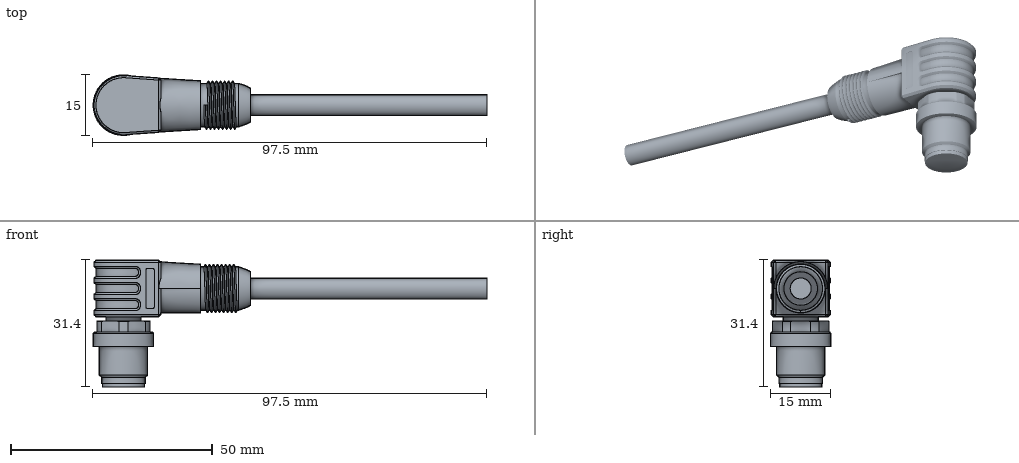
import cadquery as cq
import math


PLUG_DEPTH = 24.4
CABLE_END_X = 90.05
CABLE_DIAMETER = 5.2

HEAD_HEIGHT = 14.0
HEAD_RADIUS = 7.35
HEAD_END_X = 9.25
HEAD_TAPER = math.radians(4.0)
HEAD_EDGE_CHAMFER = 0.55

GROOVE_COUNT = 3
GROOVE_PITCH = 4.0
GROOVE_WIDTH = 3.0
GROOVE_DEPTH = 0.5
GROOVE_END_X = 4.2
GROOVE_CORNER_RADIUS = 1.3
GROOVE_OVERRUN = 0.4
CUTTER_OUTSET = 1.0

PANEL_WIDTH = 2.1
PANEL_HEIGHT = 10.0
PANEL_CENTER_X = 6.6
PANEL_DEPTH = 0.1
PANEL_CORNER_RADIUS = 0.5

NECK_DIAMETER = 8.7
NECK_LENGTH = 1.0
HEX_ACROSS_FLATS = 13.2
HEX_CORNER_DIAMETER = 14.1
HEX_HEIGHT = 2.8
HEX_CHAMFER = 0.2
COLLAR_DIAMETER = 15.0
COLLAR_HEIGHT = 3.6
COLLAR_CHAMFER = 0.3
BARREL_DIAMETER = 12.0
BARREL_LENGTH = 7.6
TIP_DIAMETER = 10.8
TIP_END_DIAMETER = 10.5
TIP_END_LENGTH = 0.9

SLEEVE_START_RADIUS = 6.65
SLEEVE_RADIUS = 6.05
SLEEVE_SINK = 1.0
SLEEVE_END_X = 19.1
THREAD_CORE_RADIUS = 5.4
THREAD_CREST_RADIUS = 6.0
THREAD_START_X = 20.3
THREAD_PITCH = 1.0
THREAD_TURNS = 7.5
THREAD_ROOT_WIDTH = 0.95
THREAD_SINK = 0.1
CORE_END_X = 28.5
NOSE_END_X = 31.5
NOSE_END_RADIUS = 4.15
NOSE_BULGE = 0.15

HEAD_BOTTOM_Z = -HEAD_HEIGHT / 2


def head_outline(inset):
    """Plan outline of the head: a round end tangent to two sides that converge along +X."""
    radius = HEAD_RADIUS - inset
    tangent_x = radius * math.sin(HEAD_TAPER)
    tangent_y = radius * math.cos(HEAD_TAPER)
    end_y = tangent_y - (HEAD_END_X - tangent_x) * math.tan(HEAD_TAPER)
    return (
        cq.Workplane("XY", origin=(0, 0, HEAD_BOTTOM_Z))
        .moveTo(HEAD_END_X, -end_y)
        .lineTo(HEAD_END_X, end_y)
        .lineTo(tangent_x, tangent_y)
        .threePointArc((-radius, 0), (tangent_x, -tangent_y))
        .close()
    )


def head_shell(depth):
    """Skin of the given depth around the plain head."""
    return head_outline(-CUTTER_OUTSET).extrude(HEAD_HEIGHT).cut(head_outline(depth).extrude(HEAD_HEIGHT))


def side_block(center_x, center_z, length, height, corner_radius):
    """Rounded rectangle in the XZ plane, extruded right across the head."""
    return (
        cq.Workplane("XZ", origin=(center_x, 0, center_z))
        .rect(length, height)
        .extrude(2 * HEAD_RADIUS, both=True)
        .edges("|Y")
        .fillet(corner_radius)
    )


def grip_grooves():
    """Cutters for the grooves that wrap the round end and stop with rounded corners on both flanks."""
    groove_length = 3 * HEAD_RADIUS
    center_x = GROOVE_END_X + GROOVE_OVERRUN - groove_length / 2
    block_width = GROOVE_WIDTH + 2 * GROOVE_OVERRUN
    block_radius = GROOVE_CORNER_RADIUS + GROOVE_OVERRUN
    shell = head_shell(GROOVE_DEPTH)
    plain_head = head_outline(0).extrude(HEAD_HEIGHT).val()
    cutters = []
    for index in range(GROOVE_COUNT):
        center_z = (index - (GROOVE_COUNT - 1) / 2) * GROOVE_PITCH
        block = side_block(center_x, center_z, groove_length, block_width, block_radius)
        ring = shell.intersect(block)
        floor_edges = ring.edges().filter(lambda edge: plain_head.isInside(edge.positionAt(0.5)))
        cutters.append(floor_edges.chamfer(GROOVE_DEPTH + GROOVE_OVERRUN))
    return cutters


def head():
    body = head_outline(0).extrude(HEAD_HEIGHT)
    body = body.faces("<Z or >Z or >X").edges().chamfer(HEAD_EDGE_CHAMFER)
    panel = side_block(PANEL_CENTER_X, 0, PANEL_WIDTH, PANEL_HEIGHT, PANEL_CORNER_RADIUS)
    for groove in grip_grooves():
        body = body.cut(groove)
    return body.cut(head_shell(PANEL_DEPTH).intersect(panel))


def hex_nut(top_z):
    """Hexagon with a flat facing -X and its corners turned down and chamfered."""
    bottom = cq.Workplane("XY", origin=(0, 0, top_z - HEX_HEIGHT))
    vertex_circle = HEX_ACROSS_FLATS / math.cos(math.pi / 6)
    hexagon = bottom.polygon(6, vertex_circle).extrude(HEX_HEIGHT).rotate((0, 0, 0), (0, 0, 1), 30)
    turned = bottom.circle(HEX_CORNER_DIAMETER / 2).extrude(HEX_HEIGHT)
    return hexagon.intersect(turned.faces(">Z").chamfer(HEX_CHAMFER))


def plug():
    neck_bottom_z = HEAD_BOTTOM_Z - NECK_LENGTH
    collar_top_z = neck_bottom_z - HEX_HEIGHT
    collar_bottom_z = collar_top_z - COLLAR_HEIGHT
    barrel_bottom_z = collar_bottom_z - BARREL_LENGTH
    tip_radius = TIP_DIAMETER / 2
    barrel_radius = BARREL_DIAMETER / 2
    collar_radius = COLLAR_DIAMETER / 2
    neck_radius = NECK_DIAMETER / 2
    turned = (
        cq.Workplane("XZ")
        .moveTo(0, 0)
        .lineTo(neck_radius, 0)
        .lineTo(neck_radius, collar_top_z)
        .lineTo(collar_radius - COLLAR_CHAMFER, collar_top_z)
        .lineTo(collar_radius, collar_top_z - COLLAR_CHAMFER)
        .lineTo(collar_radius, collar_bottom_z)
        .lineTo(barrel_radius, collar_bottom_z)
        .lineTo(barrel_radius, barrel_bottom_z + barrel_radius - tip_radius)
        .lineTo(tip_radius, barrel_bottom_z)
        .lineTo(tip_radius, TIP_END_LENGTH - PLUG_DEPTH)
        .lineTo(TIP_END_DIAMETER / 2, TIP_END_LENGTH - PLUG_DEPTH)
        .lineTo(TIP_END_DIAMETER / 2, -PLUG_DEPTH)
        .lineTo(0, -PLUG_DEPTH)
        .close()
        .revolve(360, (0, 0, 0), (0, 1, 0))
    )
    return turned.union(hex_nut(neck_bottom_z))


def sleeve():
    """Tapered upper half over a straight lower half, parted at the cable axis."""
    start_x = HEAD_END_X - SLEEVE_SINK
    slope = (SLEEVE_START_RADIUS - SLEEVE_RADIUS) / (SLEEVE_END_X - HEAD_END_X)
    sunk_radius = SLEEVE_START_RADIUS + slope * SLEEVE_SINK
    upper = (
        cq.Workplane("XY")
        .polyline([(start_x, 0), (start_x, sunk_radius), (SLEEVE_END_X, SLEEVE_RADIUS), (SLEEVE_END_X, 0)])
        .close()
        .revolve(180, (0, 0, 0), (1, 0, 0))
    )
    lower = cq.Workplane("YZ", origin=(start_x, 0, 0)).circle(SLEEVE_RADIUS).extrude(SLEEVE_END_X - start_x)
    return upper.union(lower)


def nose_and_cable():
    """Thread core, rounded nose and cable, all round about X."""
    cable_radius = CABLE_DIAMETER / 2
    nose_middle = (
        (CORE_END_X + NOSE_END_X) / 2,
        (THREAD_CORE_RADIUS + NOSE_END_RADIUS) / 2 + NOSE_BULGE,
    )
    return (
        cq.Workplane("XY")
        .moveTo(0, 0)
        .lineTo(0, THREAD_CORE_RADIUS)
        .lineTo(CORE_END_X, THREAD_CORE_RADIUS)
        .threePointArc(nose_middle, (NOSE_END_X, NOSE_END_RADIUS))
        .lineTo(NOSE_END_X, cable_radius)
        .lineTo(CABLE_END_X, cable_radius)
        .lineTo(CABLE_END_X, 0)
        .close()
        .revolve(360, (0, 0, 0), (1, 0, 0))
    )


def thread():
    """Helical ridge of triangular section about X, starting at the top."""
    root = THREAD_CORE_RADIUS - THREAD_SINK
    path = cq.Wire.makeHelix(THREAD_PITCH, THREAD_PITCH * THREAD_TURNS, root)
    section = (
        cq.Workplane("XZ")
        .polyline([
            (root, -THREAD_ROOT_WIDTH / 2),
            (THREAD_CREST_RADIUS, 0),
            (root, THREAD_ROOT_WIDTH / 2),
        ])
        .close()
    )
    ridge = section.sweep(cq.Workplane(obj=path), isFrenet=True)
    ridge = ridge.rotate((0, 0, 0), (0, 0, 1), 180)
    return ridge.rotate((0, 0, 0), (0, 1, 0), 90).translate((THREAD_START_X, 0, 0))


result = head().union(plug()).union(sleeve()).union(nose_and_cable()).union(thread())